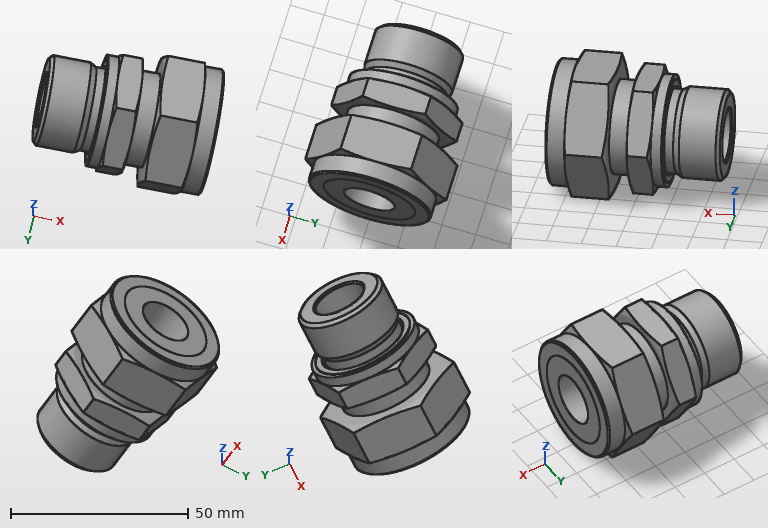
import cadquery as cq
import math

TOTAL_LENGTH = 49.0
NECK_DIAMETER = 27.0
HEX_CHAMFER_ANGLE = 15.0

BORE_DIAMETER = 15.0
BORE_CHAMFER = 0.5

STUD_DIAMETER = 25.95
STUD_CHAMFER = 1.05
STUD_END = 11.55
UNDERCUT_DIAMETER = 24.0
UNDERCUT_START = 13.4

SEAL_FACE_DIAMETER = 29.4
SEAL_FACE_START = 15.8
SEAL_RECESS_DIAMETER = 25.5
SEAL_RECESS_ANGLE = 45.0
COLLAR_START = 16.05
BODY_HEX_FLATS = 32.0
BODY_HEX_START = 19.05
BODY_HEX_END = 25.95

NUT_HEX_FLATS = 36.0
NUT_FACE_DIAMETER = 35.75
NUT_START = 31.45
NUT_HEX_END = 43.5
NUT_TAIL_CHAMFER = 0.5


def cylinder(diameter, start, end):
    """Solid cylinder along X between two positions."""
    return cq.Workplane("YZ", origin=(start, 0, 0)).circle(diameter / 2).extrude(end - start)


def turned(profile):
    """Solid of revolution about X from (x, radius) points, closed along the axis."""
    first_x = profile[0][0]
    last_x = profile[-1][0]
    outline = [(first_x, 0)] + profile + [(last_x, 0)]
    return cq.Workplane("XY").polyline(outline).close().revolve(360, (0, 0, 0), (1, 0, 0))


def chamfered_hexagon(flats, start, end, start_face_diameter, end_face_diameter):
    """Hexagon with flats at top and bottom, its corners turned down by a cone at each end."""
    corner_diameter = flats / math.cos(math.radians(30))
    slope = math.tan(math.radians(HEX_CHAMFER_ANGLE))
    start_depth = (corner_diameter - start_face_diameter) / 2 * slope
    end_depth = (corner_diameter - end_face_diameter) / 2 * slope
    prism = cq.Workplane("YZ", origin=(start, 0, 0)).polygon(6, corner_diameter).extrude(end - start)
    envelope = turned([
        (start, start_face_diameter / 2),
        (start + start_depth, corner_diameter / 2),
        (end - end_depth, corner_diameter / 2),
        (end, end_face_diameter / 2),
    ])
    return prism.intersect(envelope)


def make_body():
    """Stud, undercut, collar, hexagon and shank, with a bore right through."""
    stud_radius = STUD_DIAMETER / 2
    undercut_radius = UNDERCUT_DIAMETER / 2
    recess_radius = SEAL_RECESS_DIAMETER / 2
    recess_depth = (recess_radius - undercut_radius) / math.tan(math.radians(SEAL_RECESS_ANGLE))
    recess_end = SEAL_FACE_START + recess_depth
    stud = turned([
        (0, stud_radius - STUD_CHAMFER),
        (STUD_CHAMFER, stud_radius),
        (STUD_END, stud_radius),
        (UNDERCUT_START, undercut_radius),
        (recess_end, undercut_radius),
    ])
    seal_face = cylinder(SEAL_FACE_DIAMETER, SEAL_FACE_START, COLLAR_START)
    collar = cylinder(BODY_HEX_FLATS, COLLAR_START, BODY_HEX_START)
    hexagon = chamfered_hexagon(
        BODY_HEX_FLATS, BODY_HEX_START, BODY_HEX_END, BODY_HEX_FLATS, BODY_HEX_FLATS
    )
    recess = turned([
        (SEAL_FACE_START, recess_radius),
        (recess_end, undercut_radius),
    ])
    shank = cylinder(NECK_DIAMETER, BODY_HEX_END, TOTAL_LENGTH)

    bore_radius = BORE_DIAMETER / 2
    bore = turned([
        (0, bore_radius + BORE_CHAMFER),
        (BORE_CHAMFER, bore_radius),
        (TOTAL_LENGTH, bore_radius),
    ])
    flange = seal_face.union(collar).union(hexagon).cut(recess)
    return flange.union(stud).union(shank).cut(bore)


def make_nut():
    """Hexagon nut with a round tail, bored to fit the body's shank."""
    hexagon = chamfered_hexagon(
        NUT_HEX_FLATS, NUT_START, NUT_HEX_END, NUT_FACE_DIAMETER, NUT_HEX_FLATS
    )
    tail = cylinder(NUT_HEX_FLATS, NUT_HEX_END, TOTAL_LENGTH).faces(">X").chamfer(NUT_TAIL_CHAMFER)
    shank_hole = cylinder(NECK_DIAMETER, NUT_START, TOTAL_LENGTH)
    return hexagon.union(tail).cut(shank_hole)


body = make_body()
nut = make_nut()

result = cq.Compound.makeCompound([body.val(), nut.val()])